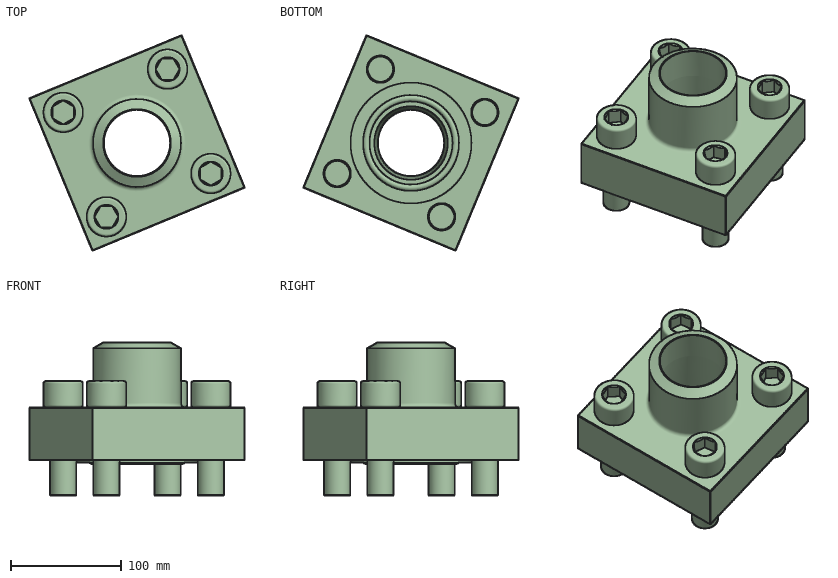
import cadquery as cq
import math


turn_angle = 22.5
plate_side = 150.0
plate_height = 48.0
edge_chamfer = 0.55
neck_diameter = 80.0
neck_height = 59.0
neck_fillet = 4.0
weld_bevel_angle = 30
rim_diameter = 61.6
face_diameter = 110.0
face_height = 2.2

bore_diameter = 60.0
flare_diameter = 67.0
straight_bore_depth = 29.7

groove_outer_diameter = 87.3
groove_inner_diameter = 75.5
seal_protrusion = 1.4

screw_count = 4
screw_circle_radius = 72.5
first_screw_angle = 67.5
shank_diameter = 24.0
shank_length = 80.0
shank_chamfer = 0.5
head_diameter = 36.0
head_height = 24.0
head_fillet = 2.3
clearance_diameter = 25.0
socket_corner_diameter = 22.0
socket_depth = 14.7
socket_lead_angle = 45

face_z = -plate_height - face_height
weld_bevel_height = (neck_diameter - rim_diameter) / 2 * math.tan(math.radians(weld_bevel_angle))
seal_thickness = (groove_outer_diameter - groove_inner_diameter) / 2
seal_mean_radius = (groove_outer_diameter + groove_inner_diameter) / 4
groove_depth = seal_thickness - seal_protrusion
screw_angles = [first_screw_angle + i * 360 / screw_count for i in range(screw_count)]


def make_plate():
    plate = cq.Workplane("XY").rect(plate_side, plate_side).extrude(-plate_height)
    return plate.edges().chamfer(edge_chamfer).rotate((0, 0, 0), (0, 0, 1), turn_angle)


def make_neck():
    """Bevelled pipe neck whose concave fillet runs out onto the plate."""
    neck_radius = neck_diameter / 2
    foot_radius = neck_radius + neck_fillet
    arc_middle = (
        foot_radius - neck_fillet * math.cos(math.radians(45)),
        neck_fillet - neck_fillet * math.sin(math.radians(45)),
    )
    return (
        cq.Workplane("XZ")
        .moveTo(0, 0)
        .lineTo(foot_radius, 0)
        .threePointArc(arc_middle, (neck_radius, neck_fillet))
        .lineTo(neck_radius, neck_height - weld_bevel_height)
        .lineTo(rim_diameter / 2, neck_height)
        .lineTo(0, neck_height)
        .close()
        .revolve(360, (0, 0, 0), (0, 1, 0))
    )


def make_sealing_face():
    return (
        cq.Workplane("XY", origin=(0, 0, face_z))
        .circle(face_diameter / 2)
        .extrude(face_height)
    )


def make_bore():
    bore_radius = bore_diameter / 2
    return (
        cq.Workplane("XZ")
        .moveTo(0, face_z)
        .lineTo(flare_diameter / 2, face_z)
        .lineTo(bore_radius, neck_height - straight_bore_depth)
        .lineTo(bore_radius, neck_height)
        .lineTo(0, neck_height)
        .close()
        .revolve(360, (0, 0, 0), (0, 1, 0))
    )


def make_seal_groove():
    return (
        cq.Workplane("XY", origin=(0, 0, face_z))
        .circle(groove_outer_diameter / 2)
        .circle(groove_inner_diameter / 2)
        .extrude(groove_depth)
    )


def make_screw_holes():
    return (
        cq.Workplane("XY")
        .polarArray(screw_circle_radius, first_screw_angle, 360, screw_count)
        .circle(clearance_diameter / 2)
        .extrude(-plate_height)
    )


def make_flange():
    blank = make_plate().union(make_neck()).union(make_sealing_face())
    return blank.cut(make_bore()).cut(make_seal_groove()).cut(make_screw_holes())


def make_seal():
    """Round-section ring that rests on the groove floor and both groove walls."""
    center_z = face_z + groove_depth - seal_thickness / 2
    return (
        cq.Workplane("XZ")
        .center(seal_mean_radius, center_z)
        .circle(seal_thickness / 2)
        .revolve(360, (-seal_mean_radius, 0, 0), (-seal_mean_radius, 1, 0))
    )


def make_socket():
    """Hexagonal key socket with a conical lead-in as wide as the hexagon corners."""
    corner_radius = socket_corner_diameter / 2
    lead_depth = corner_radius * math.tan(math.radians(socket_lead_angle))
    hexagon = (
        cq.Workplane("XY", origin=(0, 0, head_height - socket_depth))
        .polygon(6, socket_corner_diameter)
        .extrude(socket_depth)
    )
    lead_in = (
        cq.Workplane("XZ")
        .moveTo(0, head_height)
        .lineTo(corner_radius, head_height)
        .lineTo(0, head_height - lead_depth)
        .close()
        .revolve(360, (0, 0, 0), (0, 1, 0))
    )
    return hexagon.union(lead_in)


def make_screw(angle):
    """Screw with its head resting on the plate, placed at an angle around the bore."""
    head = cq.Workplane("XY").circle(head_diameter / 2).extrude(head_height)
    head = head.faces("<Z or >Z").edges().fillet(head_fillet)
    shank = cq.Workplane("XY").circle(shank_diameter / 2).extrude(-shank_length)
    shank = shank.faces("<Z").chamfer(shank_chamfer)
    screw = head.union(shank).cut(make_socket())
    screw = screw.rotate((0, 0, 0), (0, 0, 1), angle - first_screw_angle)
    x = screw_circle_radius * math.cos(math.radians(angle))
    y = screw_circle_radius * math.sin(math.radians(angle))
    return screw.translate((x, y, 0))


flange = make_flange()
seal = make_seal()
screws = [make_screw(angle) for angle in screw_angles]

result = cq.Compound.makeCompound([flange.val(), seal.val(), *[screw.val() for screw in screws]])